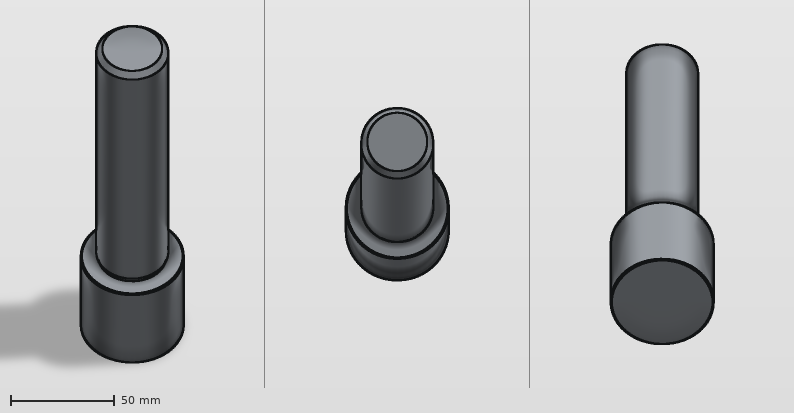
import cadquery as cq

total_height = 200.0
head_diameter = 50.0
head_height = 50.0
head_edge_chamfer = 0.5
shank_diameter = 35.0
tip_chamfer = 3.0
neck_diameter = 33.0
neck_height = 3.0


def cylinder(diameter, bottom, top):
    """Solid cylinder on the Z axis between two heights."""
    return cq.Workplane("XY").workplane(offset=bottom).circle(diameter / 2).extrude(top - bottom)


shank_bottom = head_height + neck_height

head = cylinder(head_diameter, 0, head_height).edges("%CIRCLE").chamfer(head_edge_chamfer)

neck = cylinder(neck_diameter, head_height, shank_bottom)

shank = cylinder(shank_diameter, shank_bottom, total_height).faces(">Z").edges().chamfer(tip_chamfer)

result = head.union(neck).union(shank)